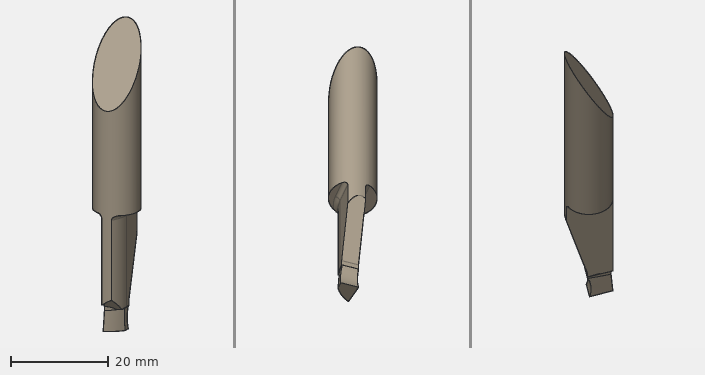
import cadquery as cq
import math


length = 65.9
shank_diameter = 10.0
shank_radius = shank_diameter / 2
bevel_angle = 60.0
bevel_height = shank_diameter * math.tan(math.radians(bevel_angle))
shank_bottom = 26.0
root_fillet = 1.0

blade_left = -1.1
blade_right = 2.6
ridge_x = 1.1
ridge_y = -math.sqrt(shank_radius**2 - ridge_x**2)
relief_end_y = -0.65
taper_top = 21.9
taper_bottom = 6.2
blade_back_y = 0.45

end_apex_z = 7.5
end_slope_x = 0.68
end_slope_y = -1.4
runout_front_z = 6.25
runout_back_z = 5.35

tip_top = 4.95
tip_front_y = -4.55
tip_edge_y = -4.95
tip_edge_z = 0.45
tip_front_x = -0.65
tip_right = 2.45
tip_flare = 0.2
tip_front_flare = 0.1
tip_side_y = -1.3
front_bulge_x = 0.9
front_bulge_y = -3.4
back_hollow_y = -0.295
back_hollow_z = 1.7
tip_back_y = 0.05

stock_allowance = 0.9
margin = 3.3
reach = shank_diameter + margin


def yz_prism(outline):
    """Extrude a closed YZ outline across the whole width."""
    return outline.close().extrude(reach, both=True)


def tip_outline(plane, flare=0, front_flare=0, front_drop=0):
    """Draw the tip cross-section: slanted rake side on -X and rounded front."""
    return (
        plane.moveTo(blade_left - flare, blade_back_y)
        .lineTo(tip_front_x - front_flare, tip_front_y - front_drop)
        .threePointArc(
            (front_bulge_x, front_bulge_y - front_drop),
            (tip_right + flare, tip_side_y - front_drop),
        )
        .lineTo(tip_right + flare, blade_back_y)
        .close()
    )


def round_blank():
    """Shank and full-depth blade with filleted roots, trimmed together to the shank diameter.

    The blade has a flat -X side and a circular relief on +X that meets the shank surface at the ridge.
    """
    relief_depth = blade_right - ridge_x
    relief_run = relief_end_y - ridge_y
    relief_radius = (relief_depth**2 + relief_run**2) / (2 * relief_depth)
    stock_half = shank_radius + stock_allowance
    stock_angle = math.asin((stock_half + relief_end_y) / relief_radius)

    def relief_point(angle):
        return (
            blade_right - relief_radius * (1 - math.cos(angle)),
            relief_end_y - relief_radius * math.sin(angle),
        )

    blade = (
        cq.Workplane("XY", origin=(0, 0, tip_top))
        .moveTo(blade_left, -stock_half)
        .lineTo(*relief_point(stock_angle))
        .threePointArc(relief_point(stock_angle / 2), (blade_right, relief_end_y))
        .lineTo(blade_right, stock_half)
        .lineTo(blade_left, stock_half)
        .close()
        .extrude(shank_bottom - tip_top)
    )
    shank = (
        cq.Workplane("XY", origin=(0, 0, shank_bottom))
        .rect(2 * stock_half, 2 * stock_half)
        .extrude(length - shank_bottom)
    )
    tolerance = 0.005
    root_zone = cq.selectors.BoxSelector(
        (blade_left - tolerance, -reach, shank_bottom - tolerance),
        (blade_right + tolerance, reach, shank_bottom + tolerance),
        boundingbox=True,
    )
    roots = shank.union(blade).edges(root_zone).fillet(root_fillet)
    return roots.intersect(cq.Workplane("XY").circle(shank_radius).extrude(length))


def end_cutter():
    """Space under the sloping blade end and the rake runout, leaving the stub."""
    normal = (end_slope_x, end_slope_y, -1)
    below_slope = cq.Workplane(
        cq.Plane(origin=(ridge_x, ridge_y, end_apex_z), normal=normal)
    ).rect(4 * reach, 4 * reach).extrude(reach)
    rake_runout = (
        cq.Workplane("YZ", origin=(tip_front_x, 0, 0))
        .moveTo(-shank_radius, 0)
        .lineTo(-shank_radius, runout_front_z)
        .lineTo(blade_back_y, runout_back_z)
        .lineTo(blade_back_y, 0)
        .close()
        .extrude(-reach)
    )
    blade_zone = cq.Workplane("XY").box(reach, reach, shank_bottom - root_fillet, centered=(True, True, False))
    stub = tip_outline(cq.Workplane("XY")).extrude(shank_bottom)
    return below_slope.intersect(blade_zone).union(rake_runout).cut(stub)


def make_bar():
    bevel = yz_prism(
        cq.Workplane("YZ")
        .moveTo(shank_radius, length)
        .lineTo(-shank_radius, length - bevel_height)
        .lineTo(-shank_radius, length)
    )
    back_taper = yz_prism(
        cq.Workplane("YZ")
        .moveTo(shank_radius, taper_top)
        .lineTo(blade_back_y, taper_bottom)
        .lineTo(blade_back_y, 0)
        .lineTo(shank_radius, 0)
    )
    return round_blank().cut(bevel).cut(back_taper).cut(end_cutter())


def make_tip():
    """Flared block trimmed to a hollow back and a clearance slope underneath."""
    upper = tip_outline(cq.Workplane("XY", origin=(0, 0, tip_top))).wires().val()
    lower = tip_outline(
        cq.Workplane("XY"), tip_flare, tip_front_flare, tip_front_y - tip_edge_y
    ).wires().val()
    block = cq.Workplane(cq.Solid.makeLoft([upper, lower], True))
    side_profile = yz_prism(
        cq.Workplane("YZ")
        .moveTo(-shank_radius, tip_top)
        .lineTo(-shank_radius, tip_edge_z)
        .lineTo(tip_edge_y, tip_edge_z)
        .lineTo(tip_back_y, 0)
        .threePointArc((back_hollow_y, back_hollow_z), (blade_back_y, tip_top))
    )
    return block.intersect(side_profile)


bar = make_bar()
tip = make_tip()
result = cq.Compound.makeCompound([bar.solids().val(), tip.solids().val()])